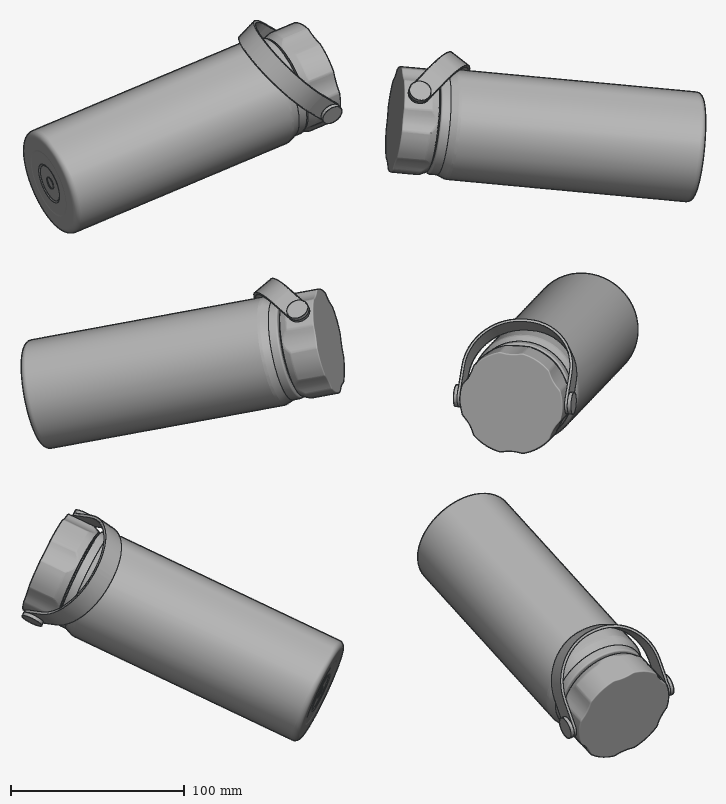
import cadquery as cq
import math

TOTAL_LENGTH = 176.5

BODY_RADIUS = 31.8
BASE_FILLET = 3.5
SHOULDER_START = 144.0
SHOULDER_END = 149.1
SHOULDER_FILLET = 4.4
COLLAR_RADIUS = 29.6
COLLAR_END = 154.5
RIM_FILLET = 1.0
NECK_RADIUS = 26.0

OUTER_STEP_RADIUS = 20.6
INNER_STEP_RADIUS = 12.0
STEP_WIDTH = 1.0
OUTER_STEP_DEPTH = 0.2
INNER_STEP_DEPTH = 0.5
DIMPLE_RADIUS = 3.7
DIMPLE_DEPTH = 0.5

CAP_RADIUS = 30.5
CAP_START = 155.6
CAP_START_RADIUS = 28.5
GRIP_START = 160.0
CAP_TOP_FILLET = 0.7
CAP_CONE_FILLET = 2.3
SCALLOP_COUNT = 6
SCALLOP_RADIUS = 24.7
SCALLOP_VALLEY = 29.0
SCALLOP_EDGE_FILLET = 3.5

PIVOT_Y = 168.2
HANDLE_HALF_SPAN = 32.6
HANDLE_THICKNESS = 1.5
HANDLE_WIDTH = 12.7
HANDLE_LEG = 16.2
HANDLE_FLAT_HALF = 1.2
HANDLE_END_RADIUS = HANDLE_WIDTH / 2
HANDLE_TILT = 52.0

PIN_RADIUS = HANDLE_END_RADIUS
OVERALL_WIDTH = 69.7


def revolve_about_y(profile):
    """Turn a closed (radius, Y) profile into a solid of revolution about the Y axis."""
    outline = [(y, radius) for radius, y in profile]
    return cq.Workplane("YZ").polyline(outline).close().revolve(360, (0, 0), (1, 0))


def make_base_recess():
    """Solid that is cut from the base to leave the two conical steps and the dimple."""
    floor = OUTER_STEP_DEPTH + INNER_STEP_DEPTH
    dimple_floor = floor + DIMPLE_DEPTH
    return revolve_about_y([
        (0, 0),
        (OUTER_STEP_RADIUS, 0),
        (OUTER_STEP_RADIUS - STEP_WIDTH, OUTER_STEP_DEPTH),
        (INNER_STEP_RADIUS, OUTER_STEP_DEPTH),
        (INNER_STEP_RADIUS - STEP_WIDTH, floor),
        (DIMPLE_RADIUS, floor),
        (DIMPLE_RADIUS, dimple_floor),
        (0, dimple_floor),
    ])


def make_bottle():
    shell = revolve_about_y([
        (0, 0),
        (BODY_RADIUS, 0),
        (BODY_RADIUS, SHOULDER_START),
        (COLLAR_RADIUS, SHOULDER_END),
        (COLLAR_RADIUS, COLLAR_END),
        (0, COLLAR_END),
    ])
    shell = shell.edges("<Y").fillet(BASE_FILLET)
    shell = shell.edges(">Y").fillet(RIM_FILLET)
    shoulder_edge = cq.selectors.NearestToPointSelector((0, SHOULDER_START, 0))
    shell = shell.edges(shoulder_edge).fillet(SHOULDER_FILLET)
    neck = cq.Workplane("XZ", origin=(0, COLLAR_END, 0)).circle(NECK_RADIUS).extrude(COLLAR_END - CAP_START)
    return shell.union(neck).cut(make_base_recess())


def make_cap():
    blank = revolve_about_y([
        (0, CAP_START),
        (CAP_START_RADIUS, CAP_START),
        (CAP_RADIUS, GRIP_START),
        (CAP_RADIUS, TOTAL_LENGTH),
        (0, TOTAL_LENGTH),
    ])
    scallops = (
        cq.Workplane("XZ", origin=(0, CAP_START, 0))
        .polarArray(SCALLOP_VALLEY + SCALLOP_RADIUS, 90, 360, SCALLOP_COUNT)
        .circle(SCALLOP_RADIUS)
        .extrude(CAP_START - TOTAL_LENGTH)
    )
    cap = blank.cut(scallops)

    cap = cap.edges("|Y").fillet(SCALLOP_EDGE_FILLET)

    margin = 0.2
    cone_band = cq.selectors.BoxSelector(
        (-CAP_RADIUS, CAP_START + margin, -CAP_RADIUS),
        (CAP_RADIUS, GRIP_START + margin, CAP_RADIUS),
    )
    cap = cap.edges(cone_band).fillet(CAP_CONE_FILLET)
    return cap.edges(">Y").fillet(CAP_TOP_FILLET)


def make_arch(half_span):
    """Solid arch with straight legs, a bend on each side and a short flat crown."""
    bend_radius = half_span - HANDLE_FLAT_HALF
    crown = HANDLE_LEG + bend_radius
    bend_offset = bend_radius * math.sqrt(0.5)
    bend_x = HANDLE_FLAT_HALF + bend_offset
    bend_y = HANDLE_LEG + bend_offset
    return (
        cq.Workplane("XY")
        .moveTo(-half_span, -HANDLE_END_RADIUS)
        .lineTo(-half_span, HANDLE_LEG)
        .threePointArc((-bend_x, bend_y), (-HANDLE_FLAT_HALF, crown))
        .lineTo(HANDLE_FLAT_HALF, crown)
        .threePointArc((bend_x, bend_y), (half_span, HANDLE_LEG))
        .lineTo(half_span, -HANDLE_END_RADIUS)
        .close()
        .extrude(HANDLE_END_RADIUS, both=True)
    )


def make_handle():
    """Thin band bent into a bow, with round ends centred on the pivot."""
    bow = make_arch(HANDLE_HALF_SPAN).cut(make_arch(HANDLE_HALF_SPAN - HANDLE_THICKNESS))

    crown = HANDLE_LEG + HANDLE_HALF_SPAN - HANDLE_FLAT_HALF
    side = (
        cq.Workplane("YZ")
        .moveTo(crown, -HANDLE_END_RADIUS)
        .lineTo(0, -HANDLE_END_RADIUS)
        .threePointArc((-HANDLE_END_RADIUS, 0), (0, HANDLE_END_RADIUS))
        .lineTo(crown, HANDLE_END_RADIUS)
        .close()
        .extrude(HANDLE_HALF_SPAN, both=True)
    )
    handle = bow.intersect(side).rotate((0, 0, 0), (1, 0, 0), 180 - HANDLE_TILT)
    return handle.translate((0, PIVOT_Y, 0))


def make_pin(side):
    """Disc on the outer face of one handle end; side is -1 or 1."""
    pin_length = OVERALL_WIDTH / 2 - HANDLE_HALF_SPAN
    return (
        cq.Workplane("YZ", origin=(side * HANDLE_HALF_SPAN, PIVOT_Y, 0))
        .circle(PIN_RADIUS)
        .extrude(side * pin_length)
    )


bottle = make_bottle()
cap = make_cap()
handle = make_handle()
pins = [make_pin(side) for side in (-1, 1)]

result = cq.Compound.makeCompound([
    bottle.val(),
    cap.val(),
    handle.val(),
    *[pin.val() for pin in pins],
])